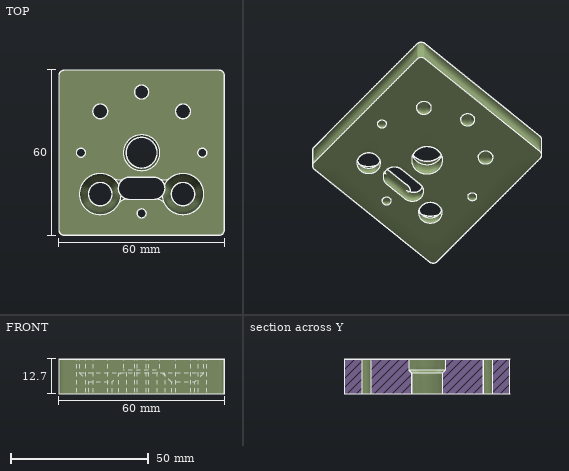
import cadquery as cq

plate_side = 60.0
plate_thickness = 12.7
corner_radius = 2.0

pin_hole_diameter = 3.2
pin_circle_radius = 22.0
dowel_hole_diameter = 5.0
screw_hole_diameter = 5.3
square_half_pitch = 15.0

bore_diameter = 13.1
bore_throat_diameter = 11.1
bore_depth = 4.0
bore_cone_height = 1.0

pocket_diameter = 15.0
pocket_throat_diameter = 8.4
pocket_depth = 5.0
pocket_cone_height = (pocket_diameter - pocket_throat_diameter) / 2

slot_length = 16.8
slot_width = 8.0
slot_center_y = -12.9
slot_blend_radius = 3.25

pocket_centers = [(-square_half_pitch, -square_half_pitch), (square_half_pitch, -square_half_pitch)]
screw_centers = [(-square_half_pitch, square_half_pitch), (square_half_pitch, square_half_pitch)]
pin_centers = [(-pin_circle_radius, 0), (pin_circle_radius, 0), (0, -pin_circle_radius)]
dowel_centers = [(0, pin_circle_radius)]


def make_plate():
    """Square plate with rounded vertical corners, standing on Z = 0."""
    plate = cq.Workplane("XY").box(plate_side, plate_side, plate_thickness, centered=(True, True, False))
    return plate.edges("|Z").fillet(corner_radius)


def through_holes(centers, diameter):
    """Cylinders that run through the full plate thickness."""
    return cq.Workplane("XY").pushPoints(centers).circle(diameter / 2).extrude(plate_thickness)


def seated_hole(center, diameter, throat_diameter, depth, cone_height):
    """Bore from the top face that narrows through a cone to a smaller through hole."""
    radius = diameter / 2
    throat_radius = throat_diameter / 2
    seat_z = plate_thickness - depth
    half_section = [
        (0, 0),
        (throat_radius, 0),
        (throat_radius, seat_z - cone_height),
        (radius, seat_z),
        (radius, plate_thickness),
        (0, plate_thickness),
    ]
    tool = cq.Workplane("XZ").polyline(half_section).close().revolve(360, (0, 0, 0), (0, 1, 0))
    return tool.translate((*center, 0))


def slot(depth):
    """Round-ended slot cut down from the top face."""
    plane = cq.Workplane("XY", origin=(0, slot_center_y, plate_thickness))
    return plane.slot2D(slot_length, slot_width).extrude(-depth)


def blended_recess():
    """Upper recess: both pockets and the slot, with their meeting corners rounded."""
    pockets = (
        cq.Workplane("XY", origin=(0, 0, plate_thickness))
        .pushPoints(pocket_centers)
        .circle(pocket_diameter / 2)
        .extrude(-pocket_depth)
    )
    recess = pockets.union(slot(pocket_depth))
    pocket_inner_x = square_half_pitch - pocket_diameter / 2
    corners = recess.edges("|Z").filter(
        lambda edge: pocket_inner_x < abs(edge.Center().x) < square_half_pitch
    )
    return corners.fillet(slot_blend_radius)


result = make_plate()
result = result.cut(through_holes(pin_centers, pin_hole_diameter))
result = result.cut(through_holes(dowel_centers, dowel_hole_diameter))
result = result.cut(through_holes(screw_centers, screw_hole_diameter))
result = result.cut(seated_hole((0, 0), bore_diameter, bore_throat_diameter, bore_depth, bore_cone_height))
result = result.cut(blended_recess())
for pocket_center in pocket_centers:
    result = result.cut(
        seated_hole(pocket_center, pocket_diameter, pocket_throat_diameter, pocket_depth, pocket_cone_height)
    )
result = result.cut(slot(plate_thickness))